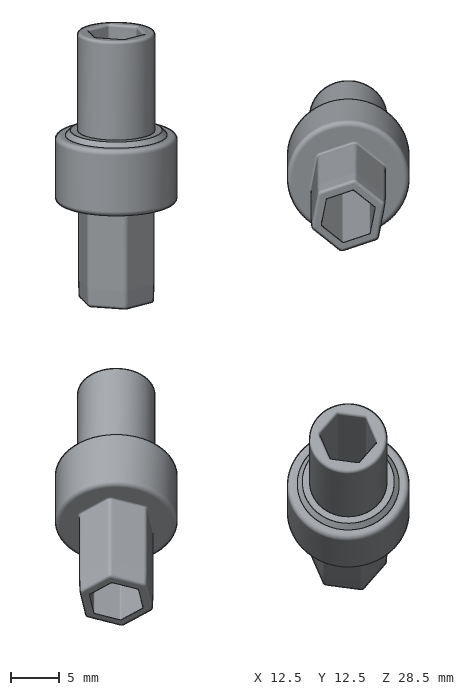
import cadquery as cq
import math

total_height = 28.45
collar_bottom = 10.5
collar_shoulder = 17.53
collar_diameter = 12.5
collar_edge_radius = 0.5

step_height = 0.5
step_base_diameter = 10.45
step_angle = 45.0

tube_diameter = 7.95
tube_rim_radius = 0.3

drive_across_flats = 7.05
drive_corner_radius = 0.5
drive_root_radius = 0.2
lead_in_height = 2.02
lead_in_angle = 2.0
lead_in_blend_radius = 5.0
tip_radius = 0.3

bore_across_flats = 5.1
bore_corner_radius = 0.2
bore_mouth_radius = 0.28

hexagon_sides = 6
hexagon_turn = 360 / hexagon_sides

pick_margin = 0.03


def across_corners(across_flats):
    return across_flats / math.cos(math.pi / hexagon_sides)


def turned(solid, count):
    """Solid turned about the Z axis by a number of hexagon sides."""
    return solid.rotate((0, 0, 0), (0, 0, 1), count * hexagon_turn)


def disc(diameter, bottom, top, taper=0):
    plane = cq.Workplane("XY").workplane(offset=bottom)
    return plane.circle(diameter / 2).extrude(top - bottom, taper=taper)


def edges_at_height(z, width):
    """Selector for edges at height z that lie within a centred square of the given width."""
    half = width / 2
    low = (-half, -half, z - pick_margin)
    high = (half, half, z + pick_margin)
    return cq.selectors.BoxSelector(low, high, boundingbox=True)


def make_collar():
    collar = disc(collar_diameter, collar_bottom, collar_shoulder)
    collar = collar.edges("%CIRCLE").fillet(collar_edge_radius)
    step_top = collar_shoulder + step_height
    step = disc(step_base_diameter, collar_shoulder, step_top, step_angle)
    return collar.union(step)


def make_tube():
    tube = disc(tube_diameter, collar_shoulder, total_height)
    return tube.faces(">Z").edges().fillet(tube_rim_radius)


def drive_half_profile(plane, shank_side):
    """Open half profile from the top centre, down a side at distance shank_side, to the tip centre."""
    angle = math.radians(lead_in_angle)
    blend_reach = lead_in_blend_radius * math.tan(angle / 2)
    blend_end = (
        shank_side - blend_reach * math.sin(angle),
        lead_in_height - blend_reach * math.cos(angle),
    )
    tip_side = shank_side - lead_in_height * math.tan(angle)
    return (
        cq.Workplane(plane)
        .moveTo(0, collar_bottom)
        .lineTo(shank_side, collar_bottom)
        .lineTo(shank_side, lead_in_height + blend_reach)
        .tangentArcPoint(blend_end, relative=False)
        .lineTo(tip_side, 0)
        .lineTo(0, 0)
    )


def make_drive():
    """Three crossed slabs, each carrying two opposite flats, joined by six round corner posts."""
    half_width = drive_across_flats / 2
    post_distance = across_corners(half_width - drive_corner_radius)
    flat_length = post_distance

    slab = drive_half_profile("YZ", half_width).mirrorY().extrude(flat_length / 2, both=True)
    post = drive_half_profile("XZ", drive_corner_radius).close().revolve(360, (0, 0, 0), (0, 1, 0))
    post = post.translate((post_distance, 0, 0))

    drive = slab
    for count in range(1, hexagon_sides // 2):
        drive = drive.union(turned(slab, count))
    for count in range(hexagon_sides):
        drive = drive.union(turned(post, count))
    return drive.faces("<Z").edges().fillet(tip_radius)


def make_bore():
    bore = cq.Workplane("XY").polygon(hexagon_sides, across_corners(bore_across_flats))
    return bore.extrude(total_height).edges("|Z").fillet(bore_corner_radius)


body = make_collar().union(make_tube()).union(make_drive())

drive_root = edges_at_height(collar_bottom, across_corners(drive_across_flats))
body = body.edges(drive_root).fillet(drive_root_radius)

body = body.cut(make_bore())
bore_mouth = edges_at_height(total_height, across_corners(bore_across_flats))
result = body.edges(bore_mouth).fillet(bore_mouth_radius)